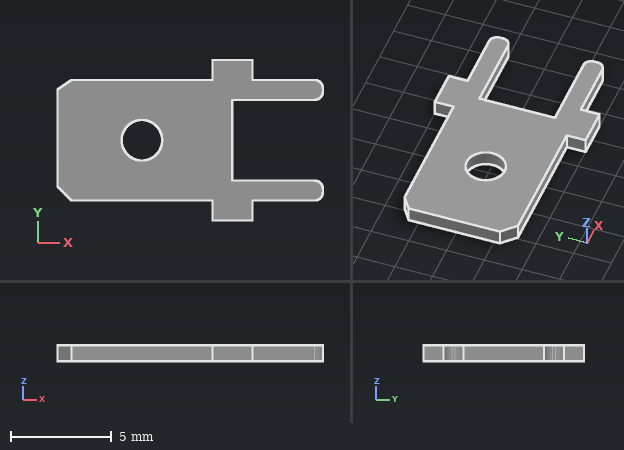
import cadquery as cq

length = 13.2
thickness = 0.8

blade_width = 6.0
blade_length = 8.7
corner_cut = 0.7
shallow_corner_cut = 0.48
hole_diameter = 2.0
hole_x = 4.2

shoulder_span = 8.0
shoulder_length = 2.0

leg_width = 1.0
tip_radius = 0.42


def block(x_start, x_end, width, y_center=0.0):
    """Rectangular plate between two X positions, resting on Z = 0."""
    return (
        cq.Workplane("XY")
        .center((x_start + x_end) / 2, y_center)
        .rect(x_end - x_start, width)
        .extrude(thickness)
    )


def make_blade():
    half_width = blade_width / 2
    return (
        cq.Workplane("XY")
        .moveTo(corner_cut, -half_width)
        .lineTo(blade_length, -half_width)
        .lineTo(blade_length, half_width)
        .lineTo(corner_cut, half_width)
        .lineTo(0, half_width - shallow_corner_cut)
        .lineTo(0, -half_width + corner_cut)
        .close()
        .extrude(thickness)
    )


def make_side(side):
    """Leg and shoulder on one side; side is +1 for +Y and -1 for -Y."""
    leg_y = side * (blade_width - leg_width) / 2
    leg = block(blade_length, length, leg_width, leg_y).edges("|Z and >X").fillet(tip_radius)

    inner_y = blade_width / 2 - leg_width
    outer_y = shoulder_span / 2
    shoulder = block(
        blade_length - shoulder_length / 2,
        blade_length + shoulder_length / 2,
        outer_y - inner_y,
        side * (inner_y + outer_y) / 2,
    )
    return leg.union(shoulder)


hole = cq.Workplane("XY").center(hole_x, 0).circle(hole_diameter / 2).extrude(thickness)

result = make_blade().union(make_side(1)).union(make_side(-1)).cut(hole).clean()